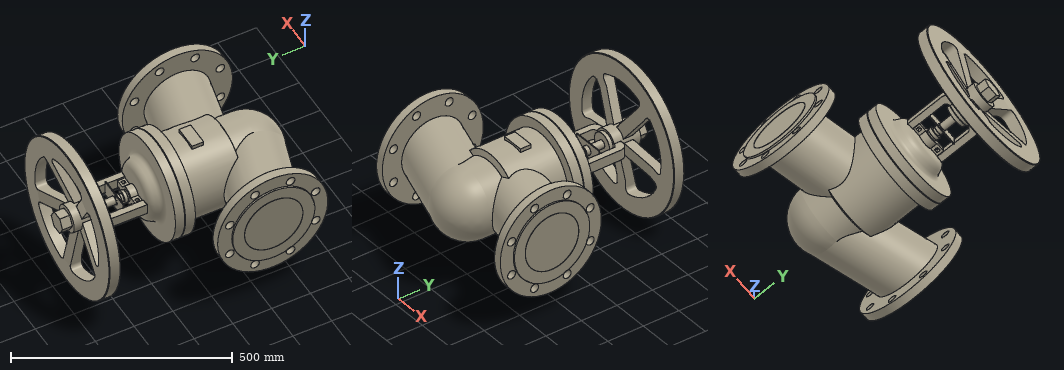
import cadquery as cq
import math


FACE_X = 480.0 / 2
RAISED_FACE_HEIGHT = 4.5
RAISED_FACE_RADIUS = 106.0
FACE_RECESS_RADIUS = 75.0
FACE_RECESS_DEPTH = 0.5
FLANGE_RADIUS = 142.5
FLANGE_THICKNESS = 22.5
BOLT_COUNT = 8
BOLT_CIRCLE_RADIUS = 120.0
BOLT_HOLE_RADIUS = 11.0
PIPE_RADIUS = 84.0
INLET_TILT = 17.4
OUTLET_TILT = 13.0
FLANGE_BACK_X = FACE_X - RAISED_FACE_HEIGHT - FLANGE_THICKNESS

BOWL_RADIUS = 91.0
BOWL_CENTER_Y = -60.0
BODY_RADIUS = 106.0
BODY_CONE_LOW_Y = -2.5
BODY_CONE_HIGH_Y = 3.5
BODY_TOP_Y = 143.5

PAD_WIDTH = 61.5
PAD_HEIGHT = 30.0
PAD_CENTER_Y = 81.0
PAD_TOP_Z = 111.0

COVER_FLANGE_RADIUS = 133.0
BODY_FLANGE_THICKNESS = 25.5
GASKET_RADIUS = 113.0
GASKET_THICKNESS = 2.0
COVER_FLANGE_TOP_Y = 195.0
GASKET_LOW_Y = BODY_TOP_Y + BODY_FLANGE_THICKNESS
GASKET_HIGH_Y = GASKET_LOW_Y + GASKET_THICKNESS

BONNET_TOP_Y = 229.0
CONE_LOW_Y = 204.0
CONE_HIGH_Y = 215.0
CONE_HIGH_RADIUS = 74.0
CONE_HALF_ANGLE = 24.0

YOKE_HALF_WIDTH = 60.0
YOKE_INNER_HALF_WIDTH = 43.0
YOKE_DEPTH = 28.0
YOKE_TOP_Y = 348.0
YOKE_INNER_TOP_Y = 328.5
YOKE_OUTER_CORNER = 21.0
YOKE_INNER_CORNER = 9.0

GLAND_RADIUS = 22.0
GLAND_TOP_Y = 248.0
LUG_DEPTH = 18.5
LUG_HOLE_SIZE = 8.5
LUG_HOLE_X = 32.5
LUG_HOLE_Y = 238.0

STEM_RADIUS = 10.5
GLAND_RING_RADIUS = 16.0
GLAND_RING_LOW_Y = 252.0
GLAND_RING_HIGH_Y = 260.5
GLAND_NECK_RADIUS = 15.0
COLLAR_RADIUS = 12.0
COLLAR_LOW_Y = 267.0
TRAVEL_PLATE_Y = 278.0
TRAVEL_PLATE_THICKNESS = 2.5
TRAVEL_PLATE_DEPTH = 44.0

HUB_RADIUS = 35.0
HUB_LOW_Y = 329.0
HUB_NUT_RADIUS = 29.0
HUB_NUT_LOW_Y = 318.5
WHEEL_RADIUS = 400.0 / 2
WHEEL_LOW_Y = 373.0
WHEEL_TOP_Y = 402.5
WHEEL_EDGE_CHAMFER = 2.0
RIM_INNER_RADIUS = 150.0
SPOKE_COUNT = 5
SPOKE_WIDTH = 32.5
SPOKE_SLOPE = 0.2
SPOKE_LOWER_SLOPE_RADIUS = 119.0
SPOKE_UPPER_SLOPE_RADIUS = 139.0
WINDOW_CORNER_RADIUS = 11.5
HEX_CORNER_DIAMETER = 53.0
HEX_TOP_Y = 428.0


def cylinder_y(radius, low_y, high_y):
    """Cylinder on the stem axis between two heights."""
    axis_start = cq.Vector(0, low_y, 0)
    return cq.Workplane(cq.Solid.makeCylinder(radius, high_y - low_y, axis_start, cq.Vector(0, 1, 0)))


def box_between(half_width, low_y, high_y, depth):
    """Box centred on the stem axis between two heights."""
    height = high_y - low_y
    return cq.Workplane().box(2 * half_width, height, depth).translate((0, low_y + height / 2, 0))


def pipe_flange(side):
    """Drilled flange with a recessed raised face; side is -1 for the inlet, +1 for the outlet."""
    flange = (
        cq.Workplane("YZ", origin=(FLANGE_BACK_X, 0, 0))
        .circle(FLANGE_RADIUS)
        .extrude(FLANGE_THICKNESS)
        .faces(">X")
        .workplane()
        .polarArray(BOLT_CIRCLE_RADIUS, 180 / BOLT_COUNT, 360, BOLT_COUNT)
        .circle(BOLT_HOLE_RADIUS)
        .cutThruAll()
        .faces(">X")
        .workplane()
        .circle(RAISED_FACE_RADIUS)
        .extrude(RAISED_FACE_HEIGHT)
        .faces(">X")
        .workplane()
        .circle(FACE_RECESS_RADIUS)
        .cutBlind(-FACE_RECESS_DEPTH)
    )
    return flange if side > 0 else flange.mirror("YZ")


def branch(side, rise):
    """Sloping pipe from a flange back to the stem axis, rising toward it by the given degrees."""
    overrun = PIPE_RADIUS * math.tan(math.radians(abs(rise)))
    run_x = FLANGE_BACK_X + overrun
    slope = math.tan(math.radians(rise))
    start = cq.Vector(side * run_x, -overrun * slope, 0)
    direction = cq.Vector(-side, slope, 0)
    length = run_x / math.cos(math.radians(rise))
    pipe = cq.Workplane(cq.Solid.makeCylinder(PIPE_RADIUS, length, start, direction))
    trim_x = FLANGE_BACK_X + FLANGE_THICKNESS / 2
    return pipe.intersect(box_between(trim_x, -FACE_X, FACE_X, 2 * FACE_X))


def body():
    """Bowl, straight neck, conical step, body barrel and body flange."""
    profile = (
        cq.Workplane("XY")
        .moveTo(0, BOWL_CENTER_Y - BOWL_RADIUS)
        .radiusArc((BOWL_RADIUS, BOWL_CENTER_Y), -BOWL_RADIUS)
        .lineTo(BOWL_RADIUS, BODY_CONE_LOW_Y)
        .lineTo(BODY_RADIUS, BODY_CONE_HIGH_Y)
        .lineTo(BODY_RADIUS, BODY_TOP_Y)
        .lineTo(0, BODY_TOP_Y)
        .close()
    )
    barrel = profile.revolve(360, (0, 0, 0), (0, 1, 0))
    pad = (
        cq.Workplane("XY", origin=(0, PAD_CENTER_Y, 0))
        .rect(PAD_WIDTH, PAD_HEIGHT)
        .extrude(PAD_TOP_Z)
    )
    return barrel.union(pad).union(cylinder_y(COVER_FLANGE_RADIUS, BODY_TOP_Y, GASKET_LOW_Y))


def bonnet():
    """Gasket, cover flange and the blended dome above it."""
    lean = math.radians(CONE_HALF_ANGLE)
    cone_low_radius = CONE_HIGH_RADIUS + (CONE_HIGH_Y - CONE_LOW_Y) * math.tan(lean)
    top_blend = (BONNET_TOP_Y - CONE_HIGH_Y) / (1 - math.sin(lean))
    foot_blend = (CONE_LOW_Y - COVER_FLANGE_TOP_Y) / (1 - math.sin(lean))
    top_flat_radius = CONE_HIGH_RADIUS - top_blend * math.cos(lean)
    foot_radius = cone_low_radius + foot_blend * math.cos(lean)
    dome = (
        cq.Workplane("XY")
        .moveTo(0, GASKET_HIGH_Y)
        .lineTo(COVER_FLANGE_RADIUS, GASKET_HIGH_Y)
        .lineTo(COVER_FLANGE_RADIUS, COVER_FLANGE_TOP_Y)
        .lineTo(foot_radius, COVER_FLANGE_TOP_Y)
        .radiusArc((cone_low_radius, CONE_LOW_Y), foot_blend)
        .lineTo(CONE_HIGH_RADIUS, CONE_HIGH_Y)
        .radiusArc((top_flat_radius, BONNET_TOP_Y), -top_blend)
        .lineTo(0, BONNET_TOP_Y)
        .close()
        .revolve(360, (0, 0, 0), (0, 1, 0))
    )
    return dome.union(cylinder_y(GASKET_RADIUS, GASKET_LOW_Y, GASKET_HIGH_Y))


def yoke():
    """Two arms that stand on the bonnet and meet at the hub."""
    outer = box_between(YOKE_HALF_WIDTH, CONE_HIGH_Y, YOKE_TOP_Y, YOKE_DEPTH)
    outer = outer.edges("|Z and >Y").fillet(YOKE_OUTER_CORNER)
    opening = box_between(YOKE_INNER_HALF_WIDTH, CONE_HIGH_Y, YOKE_INNER_TOP_Y, YOKE_DEPTH)
    opening = opening.edges("|Z and >Y").fillet(YOKE_INNER_CORNER)
    return outer.cut(opening)


def gland():
    """Gland boss with a lug reaching each yoke arm, each lug pierced by a square hole."""
    lugs = box_between(YOKE_INNER_HALF_WIDTH, BONNET_TOP_Y, GLAND_TOP_Y, LUG_DEPTH)
    holes = (
        cq.Workplane("XY")
        .pushPoints([(-LUG_HOLE_X, LUG_HOLE_Y), (LUG_HOLE_X, LUG_HOLE_Y)])
        .rect(LUG_HOLE_SIZE, LUG_HOLE_SIZE)
        .extrude(LUG_DEPTH, both=True)
    )
    return lugs.cut(holes).union(cylinder_y(GLAND_RADIUS, BONNET_TOP_Y, GLAND_TOP_Y))


def stem():
    """Stem with its gland ring, collar and travel plate."""
    plate_top = TRAVEL_PLATE_Y + TRAVEL_PLATE_THICKNESS
    return (
        cylinder_y(STEM_RADIUS, BONNET_TOP_Y, HUB_LOW_Y)
        .union(cylinder_y(GLAND_NECK_RADIUS, GLAND_TOP_Y, GLAND_RING_LOW_Y))
        .union(cylinder_y(GLAND_RING_RADIUS, GLAND_RING_LOW_Y, GLAND_RING_HIGH_Y))
        .union(cylinder_y(COLLAR_RADIUS, COLLAR_LOW_Y, TRAVEL_PLATE_Y))
        .union(box_between(YOKE_INNER_HALF_WIDTH, TRAVEL_PLATE_Y, plate_top, TRAVEL_PLATE_DEPTH))
    )


def hub():
    """Wheel hub with the round nut below it."""
    nut = cylinder_y(HUB_NUT_RADIUS, HUB_NUT_LOW_Y, HUB_LOW_Y)
    return cylinder_y(HUB_RADIUS, HUB_LOW_Y, WHEEL_TOP_Y).union(nut)


def wheel_window():
    """One window of the wheel, centred on +Z and rounded at its rim corners."""
    half_pitch = math.pi / SPOKE_COUNT
    apex_radius = SPOKE_WIDTH / 2 / math.sin(half_pitch)
    side_x = WHEEL_RADIUS * math.sin(half_pitch)
    side_z = apex_radius + WHEEL_RADIUS * math.cos(half_pitch)
    sector = (
        cq.Workplane("XZ", origin=(0, WHEEL_TOP_Y, 0))
        .moveTo(0, apex_radius)
        .lineTo(side_x, side_z)
        .lineTo(-side_x, side_z)
        .close()
        .extrude(WHEEL_TOP_Y - WHEEL_LOW_Y)
    )
    window = sector.intersect(cylinder_y(RIM_INNER_RADIUS, WHEEL_LOW_Y, WHEEL_TOP_Y))
    window = window.edges("|Y").edges(">X or <X").fillet(WINDOW_CORNER_RADIUS)
    return window.cut(cylinder_y(HUB_RADIUS, WHEEL_LOW_Y, WHEEL_TOP_Y))


def spoke_wedge(flat_y, rim_radius):
    """Wedge along -Z between a flat wheel face and the spoke slope that leaves it at rim_radius."""
    return (
        cq.Workplane("YZ")
        .moveTo(flat_y, 0)
        .lineTo(flat_y, -rim_radius)
        .lineTo(flat_y - SPOKE_SLOPE * rim_radius, 0)
        .close()
        .extrude(SPOKE_WIDTH / 2, both=True)
    )


def hand_wheel():
    """Rim, dished spokes and the hexagon on top."""
    wheel = cylinder_y(WHEEL_RADIUS, WHEEL_LOW_Y, WHEEL_TOP_Y).edges().chamfer(WHEEL_EDGE_CHAMFER)
    window = wheel_window()
    lower_wedge = spoke_wedge(WHEEL_LOW_Y, SPOKE_LOWER_SLOPE_RADIUS)
    upper_wedge = spoke_wedge(WHEEL_TOP_Y, SPOKE_UPPER_SLOPE_RADIUS)
    for index in range(SPOKE_COUNT):
        angle = 360 * index / SPOKE_COUNT
        wheel = wheel.cut(window.rotate((0, 0, 0), (0, 1, 0), angle))
        wheel = wheel.cut(upper_wedge.rotate((0, 0, 0), (0, 1, 0), angle))
        wheel = wheel.union(lower_wedge.rotate((0, 0, 0), (0, 1, 0), angle))
    hexagon = (
        cq.Workplane("XZ", origin=(0, HEX_TOP_Y, 0))
        .polygon(6, HEX_CORNER_DIAMETER)
        .extrude(HEX_TOP_Y - WHEEL_TOP_Y)
    )
    return wheel.union(hexagon)


result = (
    body()
    .union(branch(-1, -INLET_TILT))
    .union(branch(1, OUTLET_TILT))
    .union(pipe_flange(-1))
    .union(pipe_flange(1))
    .union(bonnet())
    .union(yoke())
    .union(gland())
    .union(stem())
    .union(hub())
    .union(hand_wheel())
)